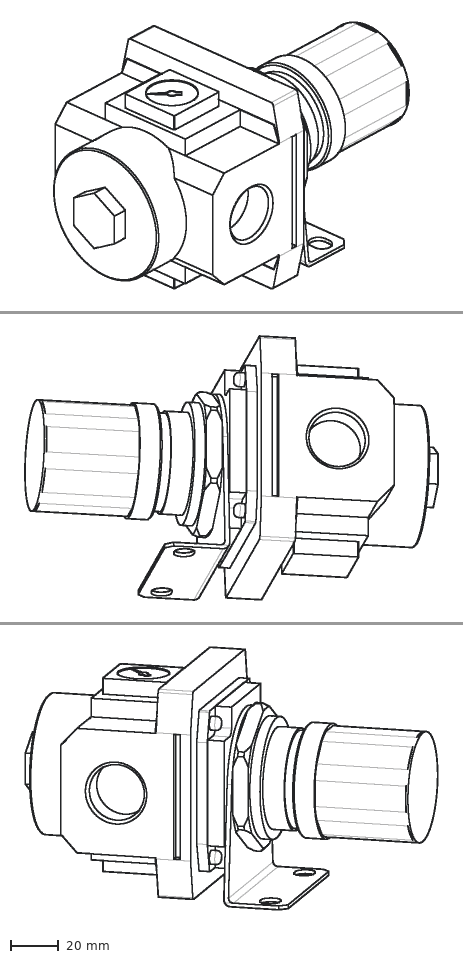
import cadquery as cq
import math


LENGTH = 170.5

Y_PLUG = -49.0
Y_CAP = -42.1
Y_BODY_FRONT = -24.2
Y_PAD_FRONT = -17.0
Y_RIDGE_FRONT = 17.0
Y_YOKE_FRONT = 17.4
Y_YOKE_BACK = 32.5
Y_COVER_BACK = 37.2
Y_BONNET_BACK = 44.3
Y_NUT_FRONT = 46.4
Y_NUT_BACK = 53.2
Y_RING_BACK = 57.6
Y_NECK_STEP = 67.0
Y_COLLAR_FRONT = 71.3
Y_KNOB_FRONT = 80.8
Y_LIP_FRONT = 120.5
Y_KNOB_END = Y_PLUG + LENGTH

WIDTH = 90.0
BODY_HEIGHT = 53.9
BODY_FRONT_HEIGHT = 38.5
PAD_WIDTH = 45.7
PAD_HEIGHT = 69.9
RIDGE_TOP_WIDTH = 83.9
YOKE_HEIGHT = 90.0
YOKE_SIDE_HEIGHT = 54.5
YOKE_TOP_WIDTH = 82.5
COVER_WIDTH = 70.6
COVER_TOP_WIDTH = 63.0
COVER_HEIGHT = 69.5
COVER_SIDE_HEIGHT = 44.0
YOKE_CORNER_RADIUS = 1.4
COVER_CORNER_RADIUS = 0.7
GROOVE_FRONT = 25.2
GROOVE_WIDTH = 2.7
GROOVE_DEPTH = 3.4

PORT_DIAMETER = 24.0
PORT_CHAMFER = 1.4
PORT_DEPTH = 13.0
CAP_DIAMETER = 60.0
CAP_CHAMFER = 0.7
PLUG_FLATS = 23.2

GAUGE_WIDTH = 28.3
GAUGE_LENGTH = 28.0
GAUGE_Y = -0.5
GAUGE_HEIGHT = 83.5
GAUGE_CHAMFER = 0.3
DIAL_DIAMETER = 22.0
DIAL_DEPTH = 0.5
NEEDLE_THICKNESS = 0.3
NEEDLE_REACH = 10.2
NEEDLE_WIDTH = 1.7
NEEDLE_TAIL_LENGTH = 4.1
NEEDLE_TAIL_WIDTH = 2.4
NEEDLE_HUB_DIAMETER = 4.1
NEEDLE_ANGLE = 225

BONNET_WIDTH = 68.9
BONNET_HEIGHT = 69.9
BONNET_ARM = 45.7
BONNET_FILLET = 3.0
SCREW_DIAMETER = 6.0
SCREW_HEIGHT = 4.3
SCREW_ROUNDING = 2.0
SCREW_SPACING = 58.0

FOOT_THICKNESS = 1.7
BRACKET_WIDTH = 70.6
BRACKET_TOP_RADIUS = 30.0
BRACKET_BOTTOM = -48.5
BRACKET_END = 71.6
BRACKET_CHAMFER = 3.2
BEND_INNER_RADIUS = 2.0
BEND_OUTER_RADIUS = 3.0
SLOT_LENGTH = 10.5
SLOT_WIDTH = 8.5
SLOT_SPACING = 54.0
SLOT_Y = 62.4

NUT_FLATS = 56.3
NUT_DIAMETER = 63.8
NUT_CHAMFER_RADIAL = 1.9
NUT_CHAMFER_AXIAL = 2.0
RING_DIAMETER = 52.0
NECK_DIAMETER = 43.5
NECK_SMALL_DIAMETER = 41.6
COLLAR_DIAMETER = 49.0
COLLAR_CHAMFER = 0.9
KNOB_DIAMETER = 47.0
KNOB_FLATS = 45.7
KNOB_SIDES = 8


def section_at(y_back):
    """Workplane across the axis that extrudes toward -Y; local axes are X and Z."""
    return cq.Workplane("XZ", origin=(0, y_back, 0))


def cylinder(diameter, y_front, y_back):
    return section_at(y_back).circle(diameter / 2).extrude(y_back - y_front)


def block(width, height, y_front, y_back):
    return section_at(y_back).rect(width, height).extrude(y_back - y_front)


def regular_prism(sides, flats, y_front, y_back):
    """Regular prism with an even number of sides and two flats facing -X and +X."""
    corner_diameter = flats / math.cos(math.pi / sides)
    prism = section_at(y_back).polygon(sides, corner_diameter).extrude(y_back - y_front)
    return prism.rotate((0, 0, 0), (0, 1, 0), 180 / sides)


def tapered_plate(width, side_height, top_width, height, y_front, y_back):
    """Eight-sided plate: straight sides that lean in to a narrower top and bottom."""
    quarter = [(width / 2, side_height / 2), (top_width / 2, height / 2)]
    upper = quarter + [(-x, z) for x, z in reversed(quarter)]
    lower = [(-x, -z) for x, z in upper]
    return section_at(y_back).polyline(upper + lower).close().extrude(y_back - y_front)


def make_body():
    side_profile = [
        (Y_YOKE_BACK, BODY_HEIGHT / 2),
        (Y_PAD_FRONT, BODY_HEIGHT / 2),
        (Y_BODY_FRONT, BODY_FRONT_HEIGHT / 2),
        (Y_BODY_FRONT, -BODY_FRONT_HEIGHT / 2),
        (Y_PAD_FRONT, -BODY_HEIGHT / 2),
        (Y_YOKE_BACK, -BODY_HEIGHT / 2),
    ]
    body = cq.Workplane("YZ").polyline(side_profile).close().extrude(WIDTH / 2, both=True)
    pad = block(PAD_WIDTH, PAD_HEIGHT, Y_PAD_FRONT, Y_YOKE_FRONT)
    ridge = tapered_plate(WIDTH, BODY_HEIGHT, RIDGE_TOP_WIDTH, PAD_HEIGHT, Y_RIDGE_FRONT, Y_YOKE_FRONT)
    return body.union(pad).union(ridge)


def make_yoke():
    yoke = tapered_plate(WIDTH, YOKE_SIDE_HEIGHT, YOKE_TOP_WIDTH, YOKE_HEIGHT, Y_YOKE_FRONT, Y_YOKE_BACK)
    return yoke.faces(">Z or <Z").edges("|Y").fillet(YOKE_CORNER_RADIUS)


def make_cover():
    cover = tapered_plate(
        COVER_WIDTH, COVER_SIDE_HEIGHT, COVER_TOP_WIDTH, COVER_HEIGHT, Y_YOKE_BACK, Y_COVER_BACK
    )
    return cover.faces(">Z or <Z").edges("|Y").fillet(COVER_CORNER_RADIUS)


def make_side_grooves():
    """Upright grooves in both body sides, as a cutting tool."""
    return (
        cq.Workplane("XY", origin=(0, GROOVE_FRONT + GROOVE_WIDTH / 2, 0))
        .pushPoints([(-WIDTH / 2, 0), (WIDTH / 2, 0)])
        .rect(2 * GROOVE_DEPTH, GROOVE_WIDTH)
        .extrude(BODY_HEIGHT / 2, both=True)
    )


def make_port(side):
    """Blind port with a chamfered mouth, as a cutting tool; side is -1 or +1 along X."""
    radius = PORT_DIAMETER / 2
    mouth = side * WIDTH / 2
    half_profile = [
        (mouth, 0),
        (mouth, radius + PORT_CHAMFER),
        (mouth - side * PORT_CHAMFER, radius),
        (mouth - side * PORT_DEPTH, radius),
        (mouth - side * PORT_DEPTH, 0),
    ]
    return cq.Workplane("XZ").polyline(half_profile).close().revolve(360, (0, 0, 0), (1, 0, 0))


def make_cap_and_plug():
    cap = cylinder(CAP_DIAMETER, Y_CAP, Y_PAD_FRONT).faces("<Y").chamfer(CAP_CHAMFER)
    plug = regular_prism(6, PLUG_FLATS, Y_PLUG, Y_CAP)
    return cap.union(plug)


def make_gauge():
    """Gauge on top with a plain block of the same size underneath."""
    top = GAUGE_HEIGHT / 2
    blocks = (
        cq.Workplane("XY")
        .box(GAUGE_WIDTH, GAUGE_LENGTH, GAUGE_HEIGHT)
        .edges("|Z")
        .chamfer(GAUGE_CHAMFER)
        .cut(cq.Workplane("XY").box(GAUGE_WIDTH, GAUGE_LENGTH, BODY_HEIGHT))
    )
    dial = cq.Workplane("XY", origin=(0, 0, top)).circle(DIAL_DIAMETER / 2).extrude(-DIAL_DEPTH)
    dial_floor = cq.Workplane("XY", origin=(0, 0, top - DIAL_DEPTH))
    pointer_outline = [
        (NEEDLE_REACH, 0),
        (0, NEEDLE_WIDTH / 2),
        (0, NEEDLE_TAIL_WIDTH / 2),
        (-NEEDLE_TAIL_LENGTH, NEEDLE_TAIL_WIDTH / 2),
        (-NEEDLE_TAIL_LENGTH, -NEEDLE_TAIL_WIDTH / 2),
        (0, -NEEDLE_TAIL_WIDTH / 2),
        (0, -NEEDLE_WIDTH / 2),
    ]
    pointer = dial_floor.polyline(pointer_outline).close().extrude(NEEDLE_THICKNESS)
    hub = dial_floor.circle(NEEDLE_HUB_DIAMETER / 2).extrude(NEEDLE_THICKNESS)
    needle = pointer.union(hub).rotate((0, 0, 0), (0, 0, 1), NEEDLE_ANGLE)
    return blocks.cut(dial).union(needle).translate((0, GAUGE_Y, 0))


def make_bonnet():
    """Plus-shaped block with rounded inner corners and a screw in each corner."""
    upright = block(BONNET_ARM, BONNET_HEIGHT, Y_COVER_BACK, Y_BONNET_BACK)
    crossbar = block(BONNET_WIDTH, BONNET_ARM, Y_COVER_BACK, Y_BONNET_BACK)
    near = (BONNET_ARM + BONNET_WIDTH) / 4
    inner_corners = cq.selectors.BoxSelector(
        (-near, Y_COVER_BACK, -near), (near, Y_BONNET_BACK, near)
    )
    bonnet = upright.union(crossbar).edges("|Y").edges(inner_corners).fillet(BONNET_FILLET)
    screw = cylinder(SCREW_DIAMETER, Y_COVER_BACK, Y_COVER_BACK + SCREW_HEIGHT)
    screw = screw.faces(">Y").edges().fillet(SCREW_ROUNDING)
    for x in (-SCREW_SPACING / 2, SCREW_SPACING / 2):
        for z in (-SCREW_SPACING / 2, SCREW_SPACING / 2):
            bonnet = bonnet.union(screw.translate((x, 0, z)))
    return bonnet


def make_bracket():
    """L-shaped bracket: upright plate with a round top and a slotted foot toward +Y."""
    half_width = BRACKET_WIDTH / 2
    foot_top = BRACKET_BOTTOM + FOOT_THICKNESS
    angle_profile = [
        (Y_BONNET_BACK, BRACKET_TOP_RADIUS),
        (Y_NUT_FRONT, BRACKET_TOP_RADIUS),
        (Y_NUT_FRONT, foot_top),
        (BRACKET_END, foot_top),
        (BRACKET_END, BRACKET_BOTTOM),
        (Y_BONNET_BACK, BRACKET_BOTTOM),
    ]
    angle = cq.Workplane("YZ").polyline(angle_profile).close().extrude(half_width, both=True)
    inner_bend = cq.selectors.NearestToPointSelector((0, Y_NUT_FRONT, foot_top))
    outer_bend = cq.selectors.NearestToPointSelector((0, Y_BONNET_BACK, BRACKET_BOTTOM))
    angle = angle.edges("|X").edges(inner_bend).fillet(BEND_INNER_RADIUS)
    angle = angle.edges("|X").edges(outer_bend).fillet(BEND_OUTER_RADIUS)
    angle = angle.edges("|Z and >Y").chamfer(BRACKET_CHAMFER)

    foot_corner_distance = math.hypot(half_width, foot_top)
    tangent_angle = math.atan2(foot_top, half_width) + math.acos(BRACKET_TOP_RADIUS / foot_corner_distance)
    tangent_x = BRACKET_TOP_RADIUS * math.cos(tangent_angle)
    tangent_z = BRACKET_TOP_RADIUS * math.sin(tangent_angle)
    outline = (
        section_at(BRACKET_END)
        .moveTo(-half_width, BRACKET_BOTTOM)
        .lineTo(-half_width, foot_top)
        .lineTo(-tangent_x, tangent_z)
        .threePointArc((0, BRACKET_TOP_RADIUS), (tangent_x, tangent_z))
        .lineTo(half_width, foot_top)
        .lineTo(half_width, BRACKET_BOTTOM)
        .close()
        .extrude(BRACKET_END - Y_BONNET_BACK)
    )
    slots = (
        cq.Workplane("XY", origin=(0, SLOT_Y, BRACKET_BOTTOM))
        .pushPoints([(-SLOT_SPACING / 2, 0), (SLOT_SPACING / 2, 0)])
        .slot2D(SLOT_LENGTH, SLOT_WIDTH)
        .extrude(FOOT_THICKNESS)
    )
    return angle.intersect(outline).cut(slots)


def make_nut():
    """Hexagon nut whose corners are turned down and chamfered on both faces."""
    hexagon = regular_prism(6, NUT_FLATS, Y_NUT_FRONT, Y_NUT_BACK)
    turned = cylinder(NUT_DIAMETER, Y_NUT_FRONT, Y_NUT_BACK)
    turned = turned.faces("<Y").edges().chamfer(NUT_CHAMFER_AXIAL, NUT_CHAMFER_RADIAL)
    turned = turned.faces(">Y").edges().chamfer(NUT_CHAMFER_AXIAL, NUT_CHAMFER_RADIAL)
    return hexagon.intersect(turned)


def make_knob():
    ring = cylinder(RING_DIAMETER, Y_NUT_BACK, Y_RING_BACK)
    neck = cylinder(NECK_DIAMETER, Y_RING_BACK, Y_NECK_STEP)
    small_neck = cylinder(NECK_SMALL_DIAMETER, Y_NECK_STEP, Y_COLLAR_FRONT)
    collar = cylinder(COLLAR_DIAMETER, Y_COLLAR_FRONT, Y_KNOB_FRONT)
    collar = collar.faces("<Y").chamfer(COLLAR_CHAMFER)
    grip = cylinder(KNOB_DIAMETER, Y_KNOB_FRONT, Y_LIP_FRONT)
    grip = grip.intersect(regular_prism(KNOB_SIDES, KNOB_FLATS, Y_KNOB_FRONT, Y_LIP_FRONT))
    lip = cylinder(KNOB_DIAMETER, Y_LIP_FRONT, Y_KNOB_END)
    return ring.union(neck).union(small_neck).union(collar).union(grip).union(lip)


housing = make_body().union(make_yoke()).cut(make_side_grooves())
for side in (-1, 1):
    housing = housing.cut(make_port(side))

result = (
    housing.union(make_gauge())
    .union(make_cap_and_plug())
    .union(make_cover())
    .union(make_bonnet())
    .union(make_bracket())
    .union(make_nut())
    .union(make_knob())
)